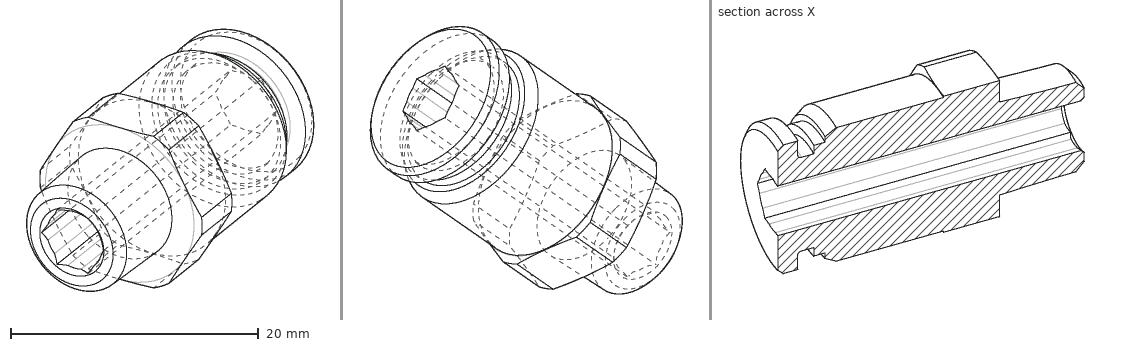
import cadquery as cq
import math


stub_length = 7.5
stub_root_diameter = 9.83
stub_end_diameter = 9.45
stub_tip_diameter = 7.8
stub_chamfer_length = 0.75

hex_length = 5.0
hex_across_flats = 14.0
hex_corner_diameter = 15.3
hex_chamfer_angle = 15.0

body_diameter = 13.9
body_length = 9.5
shoulder_length = 1.0
shoulder_diameter = 12.7

ring_diameter = 11.6
ring_length = 1.0
neck_diameter = 9.9
neck_length = 1.4
neck_fillet = 0.3
flange_diameter = 13.4
flange_length = 1.8
flange_chamfer = 0.5

socket_across_flats = 5.05
bore_diameter = 5.2
mouth_diameter = 6.05

stub_end = -stub_length
body_end = hex_length + body_length
shoulder_end = body_end + shoulder_length
ring_end = shoulder_end + ring_length
neck_end = ring_end + neck_length
flange_end = neck_end + flange_length


def revolve_profile(points):
    """Revolve a closed (radius, y) outline about the Y axis."""
    return cq.Workplane("XY").polyline(points).close().revolve(360, (0, 0, 0), (0, 1, 0))


def section_at(y):
    """Workplane across the axis at the given Y, extruding towards +Y."""
    return cq.Workplane("XZ", origin=(0, y, 0)).transformed(rotate=(180, 0, 0))


def cylinder(diameter, start, end):
    return section_at(start).circle(diameter / 2).extrude(end - start)


def hexagon_prism(across_flats, start, end):
    """Hexagonal prism along Y with two corners on the X axis."""
    corner_diameter = across_flats / math.cos(math.radians(30))
    return section_at(start).polygon(6, corner_diameter).extrude(end - start)


def make_stub():
    return revolve_profile([
        (0, stub_end),
        (stub_tip_diameter / 2, stub_end),
        (stub_end_diameter / 2, stub_end + stub_chamfer_length),
        (stub_root_diameter / 2, 0),
        (0, 0),
    ])


def make_wrench_hexagon():
    """Hexagon trimmed by a round blank whose two end faces are bevelled."""
    face_radius = hex_across_flats / 2
    corner_radius = hex_corner_diameter / 2
    bevel = (corner_radius - face_radius) * math.tan(math.radians(hex_chamfer_angle))
    blank = revolve_profile([
        (0, 0),
        (face_radius, 0),
        (corner_radius, bevel),
        (corner_radius, hex_length - bevel),
        (face_radius, hex_length),
        (0, hex_length),
    ])
    return hexagon_prism(hex_across_flats, 0, hex_length).intersect(blank)


def make_body():
    return revolve_profile([
        (0, hex_length),
        (body_diameter / 2, hex_length),
        (body_diameter / 2, body_end),
        (shoulder_diameter / 2, shoulder_end),
        (0, shoulder_end),
    ])


def make_release_sleeve():
    ring = cylinder(ring_diameter, shoulder_end, ring_end)
    neck = cylinder(neck_diameter, ring_end, neck_end)
    flange = cylinder(flange_diameter, neck_end, flange_end).faces(">Y").chamfer(flange_chamfer)
    flange_joint = cq.selectors.BoxSelector(
        (-neck_diameter, neck_end - neck_fillet, -neck_diameter),
        (neck_diameter, neck_end + neck_fillet, neck_diameter),
    )
    neck_joint = cq.selectors.RadiusNthSelector(0)
    push_button = neck.union(flange).edges("%CIRCLE").edges(flange_joint).edges(neck_joint).fillet(neck_fillet)
    return ring.union(push_button)


def make_passage():
    socket = hexagon_prism(socket_across_flats, stub_end, flange_end)
    bore = cylinder(bore_diameter, stub_end, flange_end)
    mouth_radius = mouth_diameter / 2
    mouth = revolve_profile([
        (0, stub_end),
        (mouth_radius, stub_end),
        (0, stub_end + mouth_radius),
    ])
    return socket.union(bore).union(mouth)


outside = make_stub().union(make_wrench_hexagon()).union(make_body()).union(make_release_sleeve())
result = outside.cut(make_passage())